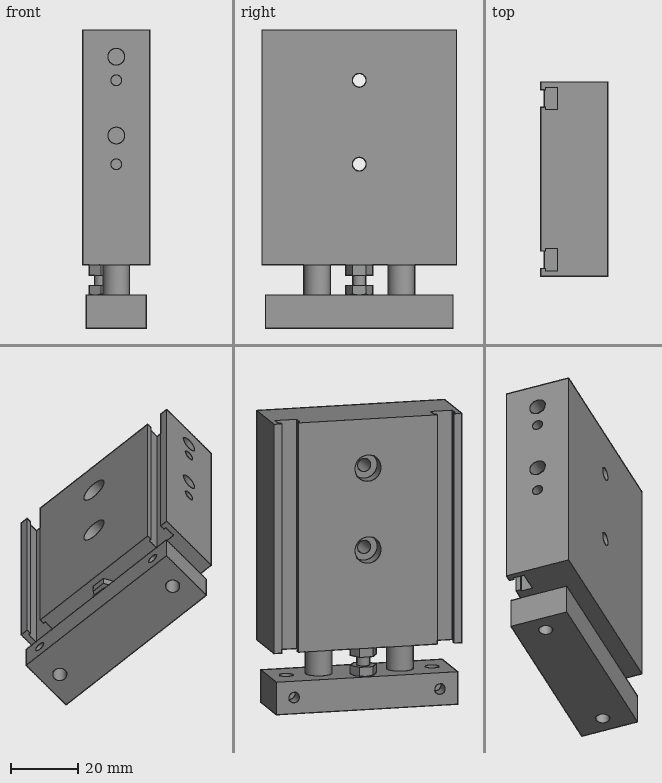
import cadquery as cq
import math

housing_thickness = 20.0
housing_width = 58.0
total_height = 89.0
plate_thickness = 18.0
plate_width = 56.0
plate_height = 10.0
gap = 9.0
housing_bottom = plate_height + gap
housing_height = total_height - housing_bottom

slot_edge_distance = 5.0
slot_opening = 5.2
slot_inner_width = 6.6
slot_lip = 1.5
slot_depth = 5.0

mount_diameter = 4.0
counterbore_diameter = 8.0
counterbore_depth = 4.45
mount_drops = (15.0, 40.05)

port_diameter = 5.0
port_drops = (8.0, 31.5)
side_hole_diameter = 3.2
side_hole_drops = mount_drops
side_hole_depth = 5.0

rod_diameter = 8.0
rod_offset = 12.55
plate_hole_offset = 22.5
plate_face_hole_diameter = 3.2
plate_face_hole_depth = 5.0
plate_top_hole_diameter = 4.2

screw_x = -4.5
screw_diameter = 4.0
hex_across_flats = 7.0
hex_across_corners = hex_across_flats / math.cos(math.pi / 6)
head_height = 3.1
nut_height = 2.85
nut_chamfer_angle = math.radians(30)


def cylinder_x(diameter, depth, x, y, z):
    """Cylinder running towards +X from the given point."""
    return cq.Workplane("YZ", origin=(x, y, z)).circle(diameter / 2).extrude(depth)


def cylinder_y(diameter, depth, x, y, z):
    """Cylinder running towards +Y from the given point."""
    return cq.Workplane("XZ", origin=(x, y, z)).circle(diameter / 2).extrude(-depth)


def cylinder_z(diameter, height, x, y, z):
    """Cylinder running towards +Z from the given point."""
    return cq.Workplane("XY", origin=(x, y, z)).circle(diameter / 2).extrude(height)


def box_from_left(left, bottom, length, width, height, y=0):
    """Box centred on y, starting at the given X and Z."""
    return (
        cq.Workplane("XY", origin=(left, y, bottom))
        .box(length, width, height, centered=(False, True, False))
    )


def make_t_slot(y):
    left = -housing_thickness / 2
    opening = box_from_left(left, housing_bottom, slot_depth, slot_opening, housing_height, y)
    inner = box_from_left(
        left + slot_lip, housing_bottom, slot_depth - slot_lip, slot_inner_width, housing_height, y
    )
    return opening.union(inner)


def make_housing():
    left = -housing_thickness / 2
    front = -housing_width / 2
    body = box_from_left(left, housing_bottom, housing_thickness, housing_width, housing_height)

    slot_y = housing_width / 2 - slot_edge_distance
    for y in (-slot_y, slot_y):
        body = body.cut(make_t_slot(y))

    for drop in mount_drops:
        z = total_height - drop
        body = body.cut(cylinder_x(mount_diameter, housing_thickness, left, 0, z))
        body = body.cut(cylinder_x(counterbore_diameter, counterbore_depth, left, 0, z))

    for drop in port_drops:
        body = body.cut(cylinder_y(port_diameter, side_hole_depth, 0, front, total_height - drop))
    for drop in side_hole_drops:
        body = body.cut(cylinder_y(side_hole_diameter, side_hole_depth, 0, front, total_height - drop))
    return body


def make_end_plate():
    left = -plate_thickness / 2
    plate = box_from_left(left, 0, plate_thickness, plate_width, plate_height)
    for side in (-1, 1):
        hole_y = side * plate_hole_offset
        plate = plate.cut(
            cylinder_x(plate_face_hole_diameter, plate_face_hole_depth, left, hole_y, plate_height / 2)
        )
        plate = plate.cut(cylinder_z(plate_top_hole_diameter, plate_height, 0, hole_y, 0))
        plate = plate.union(cylinder_z(rod_diameter, gap, 0, side * rod_offset, plate_height))
    return plate


def make_hexagon(height, z):
    """Hexagonal prism with two corners on the Y direction."""
    return (
        cq.Workplane("XY", origin=(screw_x, 0, z))
        .transformed(rotate=(0, 0, 90))
        .polygon(6, hex_across_corners)
        .extrude(height)
    )


def make_nut():
    """Lock nut with its lower corners cut back by a cone."""
    base_radius = hex_across_flats / 2
    top_radius = base_radius + nut_height / math.tan(nut_chamfer_angle)
    cone = cq.Workplane(
        cq.Solid.makeCone(base_radius, top_radius, nut_height, pnt=cq.Vector(screw_x, 0, plate_height))
    )
    return make_hexagon(nut_height, plate_height).intersect(cone)


def make_stop_screw():
    shank = cylinder_z(screw_diameter, gap, screw_x, 0, plate_height)
    head = make_hexagon(head_height, housing_bottom - head_height)
    return shank.union(head).union(make_nut())


housing = make_housing()
end_plate = make_end_plate()
stop_screw = make_stop_screw()

result = cq.Compound.makeCompound([housing.val(), end_plate.val(), stop_screw.val()])